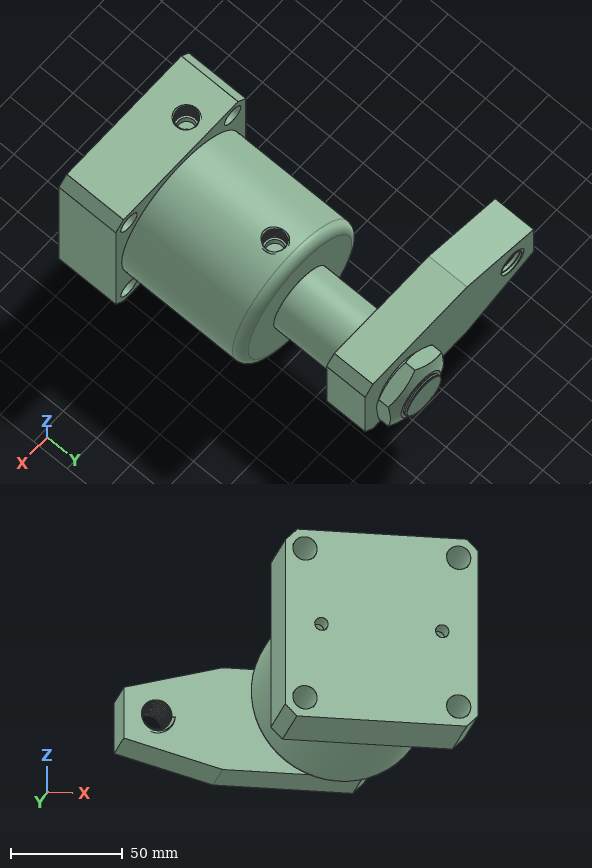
import cadquery as cq
import math


base_side = 88.0
base_height = 34.0
base_corner_chamfer = 5.3
bolt_spacing = 70.0
bolt_hole_diameter = 11.0
dowel_spacing = 55.0
dowel_hole_diameter = 6.0
dowel_hole_depth = 10.0
drill_tip_angle = 118.0

cylinder_diameter = 80.0
cylinder_top = 105.0
cylinder_top_fillet = 5.0
rod_diameter = 35.5
rod_top = 142.0
stud_diameter = 23.2
stud_protrusion = 2.0
stud_thread_pitch = 1.5
stud_thread_depth = 0.6
stud_thread_start_angle = 0.0

thread_mouth_ratio = 0.9
thread_root_overlap = 0.1

port_diameter = 11.6
port_threaded_depth = 10.0
port_tail_diameter = 9.4
port_depth = 14.0
port_thread_pitch = 1.337
port_thread_depth = 0.86
port_thread_start_angle = 100.0
cylinder_port_y = 90.0
base_port_x = -17.4
base_port_y = 22.0
pilot_diameter = 2.0
pilot_depth = 8.0

arm_thickness = 23.0
arm_width = 48.0
arm_tip_width = 24.0
arm_tip_x = -90.0
arm_taper_x = -45.0
arm_tail_chamfer = 5.3
arm_hole_x = -75.0
arm_hole_diameter = 13.8
arm_thread_pitch = 2.0
arm_thread_depth = 1.6
arm_thread_start_angle = 5.0

nut_flats = 36.0
nut_height = 12.0
nut_chamfer_angle = 25.0
nut_bottom_face_diameter = 29.2
nut_top_face_diameter = 26.6

arm_top = rod_top + arm_thickness
nut_top = arm_top + nut_height
stud_top = nut_top + stud_protrusion


def plane_facing_y(y, x=0.0):
    """Sketch plane at height y with its normal along +Y, local x along +X and local y along -Z."""
    return cq.Plane(origin=(x, y, 0), xDir=(1, 0, 0), normal=(0, 1, 0))


def cylinder_along_y(diameter, bottom, top, x=0.0):
    return cq.Workplane(plane_facing_y(bottom, x)).circle(diameter / 2).extrude(top - bottom)


def thread_groove(helix, radius, depth, pitch, start_angle):
    """V ridge swept up a helix along Z.

    A positive depth points the crest outward for a tapped hole, a negative one inward for a stud.
    """
    root_overlap = math.copysign(thread_root_overlap, depth)
    half_mouth = thread_mouth_ratio * pitch / 2
    return (
        cq.Workplane("XZ")
        .polyline([
            (radius - root_overlap, -half_mouth),
            (radius + depth, 0),
            (radius - root_overlap, half_mouth),
        ])
        .close()
        .sweep(cq.Workplane(obj=helix), isFrenet=True)
        .rotate((0, 0, 0), (0, 0, 1), start_angle)
    )


def cut_port(body, x, y, mouth_z):
    """Blind port drilled from mouth_z toward -Z: a threaded bore, then a narrower plain tail."""
    thread_floor_z = mouth_z - port_threaded_depth
    radius = port_diameter / 2
    helix = cq.Wire.makeHelix(port_thread_pitch, port_threaded_depth, radius)
    groove = thread_groove(
        helix, radius, port_thread_depth, port_thread_pitch, port_thread_start_angle
    ).translate((x, y, thread_floor_z + port_thread_pitch))
    bore = (
        cq.Workplane("XY", origin=(x, y, thread_floor_z))
        .circle(radius)
        .extrude(port_threaded_depth)
    )
    tail = (
        cq.Workplane("XY", origin=(x, y, mouth_z - port_depth))
        .circle(port_tail_diameter / 2)
        .extrude(port_depth - port_threaded_depth)
    )
    return body.cut(groove).cut(bore).cut(tail)


def make_base():
    base = (
        cq.Workplane(plane_facing_y(0))
        .rect(base_side, base_side)
        .extrude(base_height)
        .edges("|Y")
        .chamfer(base_corner_chamfer)
    )
    bolt_holes = (
        cq.Workplane(plane_facing_y(0))
        .rect(bolt_spacing, bolt_spacing, forConstruction=True)
        .vertices()
        .circle(bolt_hole_diameter / 2)
        .extrude(base_height)
    )
    base = base.cut(bolt_holes)

    dowel_radius = dowel_hole_diameter / 2
    tip_depth = dowel_radius / math.tan(math.radians(drill_tip_angle / 2))
    dowel_hole = (
        cq.Workplane("XY")
        .polyline([
            (0, 0),
            (dowel_radius, 0),
            (dowel_radius, dowel_hole_depth),
            (0, dowel_hole_depth + tip_depth),
        ])
        .close()
        .revolve(360, (0, 0), (0, 1))
    )
    for side in (-1, 1):
        base = base.cut(dowel_hole.translate((side * dowel_spacing / 2, 0, 0)))

    base = cut_port(base, base_port_x, base_port_y, base_side / 2)
    pilot = (
        cq.Workplane("XY", origin=(base_port_x, base_port_y, base_side / 2 - port_depth))
        .circle(pilot_diameter / 2)
        .extrude(-pilot_depth)
    )
    return base.cut(pilot)


def make_cylinder():
    cylinder = (
        cylinder_along_y(cylinder_diameter, base_height, cylinder_top)
        .faces(">Y")
        .edges()
        .fillet(cylinder_top_fillet)
        .cut(cylinder_along_y(rod_diameter, base_height, cylinder_top))
    )
    return cut_port(cylinder, 0, cylinder_port_y, cylinder_diameter / 2)


def make_rod():
    """Piston rod with the reduced stud that carries the arm and the nut."""
    rod = cylinder_along_y(rod_diameter, base_height, rod_top)
    stud = cylinder_along_y(stud_diameter, rod_top, stud_top)
    radius = stud_diameter / 2
    helix = cq.Wire.makeHelix(stud_thread_pitch, stud_protrusion, radius)
    groove = (
        thread_groove(
            helix, radius, -stud_thread_depth, stud_thread_pitch, stud_thread_start_angle
        )
        .rotate((0, 0, 0), (1, 0, 0), -90)
        .translate((0, nut_top, 0))
    )
    return rod.union(stud).cut(groove)


def make_arm():
    half_width = arm_width / 2
    half_tip = arm_tip_width / 2
    tail_x = half_width
    arm = (
        cq.Workplane(plane_facing_y(rod_top))
        .polyline([
            (arm_tip_x, -half_tip),
            (arm_taper_x, -half_width),
            (tail_x - arm_tail_chamfer, -half_width),
            (tail_x, -half_width + arm_tail_chamfer),
            (tail_x, half_width - arm_tail_chamfer),
            (tail_x - arm_tail_chamfer, half_width),
            (arm_taper_x, half_width),
            (arm_tip_x, half_tip),
        ])
        .close()
        .extrude(arm_thickness)
    )
    arm = arm.cut(cylinder_along_y(stud_diameter, rod_top, arm_top))
    radius = arm_hole_diameter / 2
    helix = cq.Wire.makeHelix(arm_thread_pitch, arm_thickness + arm_thread_pitch, radius)
    groove = (
        thread_groove(helix, radius, arm_thread_depth, arm_thread_pitch, arm_thread_start_angle)
        .rotate((0, 0, 0), (1, 0, 0), -90)
        .translate((arm_hole_x, rod_top, 0))
    )
    hole = cylinder_along_y(arm_hole_diameter, rod_top, arm_top, arm_hole_x)
    return arm.cut(groove).cut(hole)


def make_nut():
    """Hexagon lock nut with conical chamfers on both ends and two corners on the Z axis."""
    corner_diameter = nut_flats / math.cos(math.pi / 6)
    hexagon = (
        cq.Workplane(plane_facing_y(arm_top))
        .transformed(rotate=(0, 0, 90))
        .polygon(6, corner_diameter)
        .extrude(nut_height)
    )
    slope = math.tan(math.radians(nut_chamfer_angle))
    corner_radius = corner_diameter / 2
    bottom_radius = nut_bottom_face_diameter / 2
    top_radius = nut_top_face_diameter / 2
    envelope = (
        cq.Workplane("XY")
        .polyline([
            (0, arm_top),
            (bottom_radius, arm_top),
            (corner_radius, arm_top + (corner_radius - bottom_radius) * slope),
            (corner_radius, nut_top - (corner_radius - top_radius) * slope),
            (top_radius, nut_top),
            (0, nut_top),
        ])
        .close()
        .revolve(360, (0, 0), (0, 1))
    )
    return hexagon.intersect(envelope).cut(cylinder_along_y(stud_diameter, arm_top, nut_top))


base = make_base()
cylinder = make_cylinder()
rod = make_rod()
arm = make_arm()
nut = make_nut()

bodies = [base, cylinder, rod, arm, nut]
result = cq.Compound.makeCompound([body.solids().val() for body in bodies])